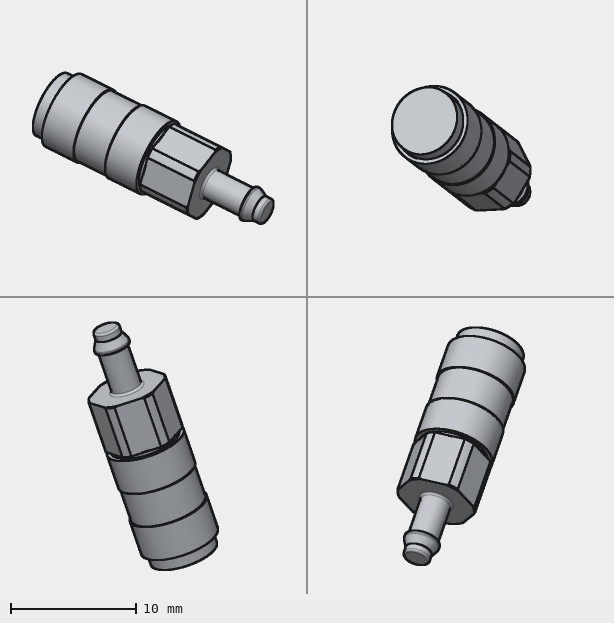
import cadquery as cq
import math

SLEEVE_FRONT = 1.15
JOURNAL_START = 1.65
BAND_START = 4.15
BAND_END = 7.15
SLEEVE_BACK = 10.15
HEX_START = 10.5
HEX_END = 15.0
BARB_START = 18.8
BARB_RIM_END = 19.03
TIP_START = 19.8
TIP_END = 20.5

NOSE_DIAMETER = 5.6
JOURNAL_DIAMETER = 5.75
SLEEVE_DIAMETER = 6.5
BAND_DIAMETER = 6.3
STEM_DIAMETER = 2.5
BARB_DIAMETER = 2.95
TIP_DIAMETER = 2.2

HEX_SIDES = 6
HEX_ACROSS_FLATS = 6.0
HEX_CORNER_DIAMETER = 6.5
HEX_ROTATION = 3.9
HEX_CHAMFER = 0.08

STEM_ROOT_RADIUS = 0.2
BARB_ROOT_RADIUS = 0.1
BARB_RIM_RADIUS = 0.2
TIP_EDGE_RADIUS = 0.2


def cylinder(diameter, start, end):
    """Cylinder on the X axis between two stations."""
    return cq.Workplane("YZ", origin=(start, 0, 0)).circle(diameter / 2).extrude(end - start)


def make_sleeve():
    """Sliding sleeve with a shallow band turned around its middle."""
    sleeve = cylinder(SLEEVE_DIAMETER, SLEEVE_FRONT, SLEEVE_BACK)
    band_ring = cylinder(SLEEVE_DIAMETER, BAND_START, BAND_END).cut(
        cylinder(BAND_DIAMETER, BAND_START, BAND_END)
    )
    bore = cylinder(JOURNAL_DIAMETER, SLEEVE_FRONT, SLEEVE_BACK)
    return sleeve.cut(band_ring).cut(bore)


def make_wrench_section():
    """Hexagon with rounded corners, chamfered at its rear end."""
    corner_to_corner = HEX_ACROSS_FLATS / math.cos(math.pi / HEX_SIDES)
    hexagon = (
        cq.Workplane("YZ", origin=(HEX_START, 0, 0))
        .polygon(HEX_SIDES, corner_to_corner)
        .extrude(HEX_END - HEX_START)
        .rotate((0, 0, 0), (1, 0, 0), HEX_ROTATION)
    )
    turned_envelope = (
        cylinder(HEX_CORNER_DIAMETER, HEX_START, HEX_END).faces(">X").edges().chamfer(HEX_CHAMFER)
    )
    return hexagon.intersect(turned_envelope)


def make_hose_stem():
    """Hose barb: root fillet, stem, barb and rounded tip, revolved about X."""
    stem_radius = STEM_DIAMETER / 2
    barb_radius = BARB_DIAMETER / 2
    tip_radius = TIP_DIAMETER / 2
    root_end = (HEX_END + STEM_ROOT_RADIUS, stem_radius)
    root_start = (HEX_END, stem_radius + STEM_ROOT_RADIUS)
    profile = (
        cq.Workplane("XY")
        .moveTo(HEX_END, 0)
        .lineTo(*root_start)
        .radiusArc(root_end, -STEM_ROOT_RADIUS)
        .lineTo(BARB_START - BARB_ROOT_RADIUS, stem_radius)
        .radiusArc((BARB_START, stem_radius + BARB_ROOT_RADIUS), -BARB_ROOT_RADIUS)
        .lineTo(BARB_START, barb_radius)
        .lineTo(BARB_RIM_END, barb_radius)
        .lineTo(TIP_START, tip_radius)
        .lineTo(TIP_END - TIP_EDGE_RADIUS, tip_radius)
        .radiusArc((TIP_END, tip_radius - TIP_EDGE_RADIUS), TIP_EDGE_RADIUS)
        .lineTo(TIP_END, 0)
        .close()
    )
    stem = profile.revolve(360, (0, 0, 0), (1, 0, 0))
    rim_end_center = (BARB_RIM_END, 0, 0)
    rim_end_edge = cq.selectors.NearestToPointSelector(rim_end_center)
    return stem.edges("%CIRCLE").edges(rim_end_edge).fillet(BARB_RIM_RADIUS)


def make_core():
    """Closed nose with clearance to the sleeve, sleeve journal, wrench section and hose stem."""
    nose = cylinder(NOSE_DIAMETER, 0, JOURNAL_START)
    journal = cylinder(JOURNAL_DIAMETER, JOURNAL_START, HEX_START)
    return nose.union(journal).union(make_wrench_section()).union(make_hose_stem())


sleeve = make_sleeve()
core = make_core()

result = cq.Compound.makeCompound([sleeve.val(), core.val()])